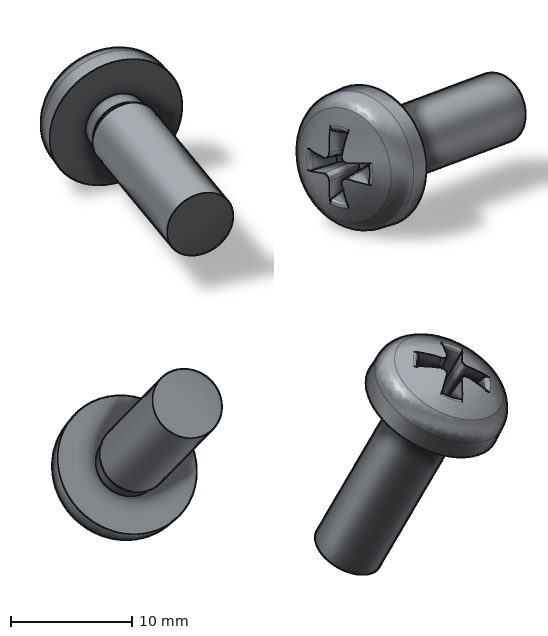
import cadquery as cq
import math

head_diameter = 12.0
head_height = 4.6
dome_radius = 10.0
shoulder_radius = 2.03
side_draft = 2.5

shank_diameter = 6.0
shank_length = 16.84
neck_diameter = 5.46
neck_length = 1.41
neck_cone_length = 0.57

wing_count = 4
wing_reach = 3.5
wing_wall_radius = 3.03
wing_wall_depth = 0.86
floor_radius = 2.22
floor_depth = 3.0
floor_angle = 28.0
wing_root_half_width = 0.5
wing_flare = 8.5
flank_draft = 4.0
root_radius = 0.5
cross_reach = wing_reach + 1.0


def tan_degrees(angle):
    return math.tan(math.radians(angle))


def dome_depth(radius):
    """Distance along X from the dome apex to the dome surface at a given radius."""
    return dome_radius - math.sqrt(dome_radius**2 - radius**2)


def revolve_about_x(profile):
    return profile.close().revolve(360, (0, 0, 0), (1, 0, 0))


def make_head():
    rim_radius = head_diameter / 2
    dome = cq.Workplane("XY").sphere(dome_radius).translate((dome_radius, 0, 0))
    front_radius = rim_radius - head_height * tan_degrees(side_draft)
    side = revolve_about_x(
        cq.Workplane("XY")
        .lineTo(0, front_radius)
        .lineTo(head_height, rim_radius)
        .lineTo(head_height, 0)
    )
    head = side.intersect(dome)
    return head.edges("%CIRCLE").edges("<X").fillet(shoulder_radius)


def make_shank():
    neck_radius = neck_diameter / 2
    shank_radius = shank_diameter / 2
    neck_end = head_height + neck_length
    return revolve_about_x(
        cq.Workplane("XY")
        .moveTo(head_height, 0)
        .lineTo(head_height, neck_radius)
        .lineTo(neck_end, neck_radius)
        .lineTo(neck_end + neck_cone_length, shank_radius)
        .lineTo(head_height + shank_length, shank_radius)
        .lineTo(head_height + shank_length, 0)
    )


def cross_outline(root_half_width):
    """Corner points (y, z) of a four-wing cross with flared wings."""
    flare = tan_degrees(wing_flare)
    root = root_half_width / (1 - flare)
    tip_half_width = root_half_width + cross_reach * flare
    wing_corners = [(root, -root), (cross_reach, -tip_half_width), (cross_reach, tip_half_width)]
    outline = []
    for wing in range(wing_count):
        angle = math.radians(360 / wing_count * wing)
        for y, z in wing_corners:
            turned_y = y * math.cos(angle) - z * math.sin(angle)
            turned_z = y * math.sin(angle) + z * math.cos(angle)
            outline.append((turned_y, turned_z))
    return outline


def make_cross_prism():
    """Four-wing prism, narrowing with depth, that sets the flanks of the recess."""
    deep_half_width = wing_root_half_width - head_height * tan_degrees(flank_draft)
    prism = (
        cq.Workplane("YZ")
        .polyline(cross_outline(wing_root_half_width))
        .close()
        .workplane(offset=head_height)
        .polyline(cross_outline(deep_half_width))
        .close()
        .loft(ruled=True)
    )
    near = wing_root_half_width
    root_edges = cq.selectors.BoxSelector((0, -near, -near), (head_height, near, near))
    return prism.edges(root_edges).fillet(root_radius)


def make_recess_envelope():
    """Turned shape that sets the rounded mouth, end walls and conical floor."""
    floor_apex = floor_depth + floor_radius * tan_degrees(floor_angle)
    return revolve_about_x(
        cq.Workplane("XY")
        .lineTo(floor_apex, 0)
        .lineTo(floor_depth, floor_radius)
        .lineTo(wing_wall_depth, wing_wall_radius)
        .tangentArcPoint((dome_depth(wing_reach), wing_reach), relative=False)
        .lineTo(0, wing_reach)
    )


recess = make_cross_prism().intersect(make_recess_envelope())
result = make_head().union(make_shank()).cut(recess)